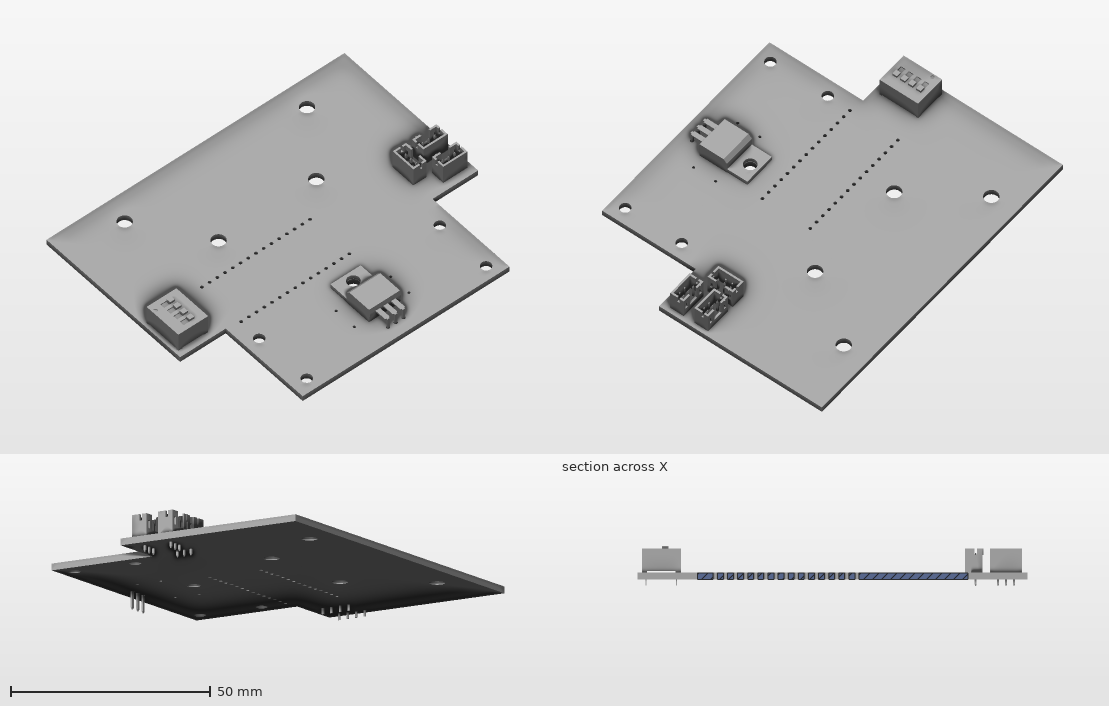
import cadquery as cq

BOARD_X = 82.0
BOARD_Y = 98.0
BOARD_T = 1.8
MAIN_X = 52.0
WING_Y = 68.0
MID_Y = BOARD_Y / 2

POST_HOLE_D = 4.1
POST_HOLES = [(7.9, 30.0), (28.0, 16.1)]
SCREW_HOLE_D = 3.1
SCREW_HOLES = [(60.0, 78.7), (60.0, 19.3), (78.0, 78.7), (78.0, 19.7)]

SOCKET_HOLE_D = 1.0
SOCKET_COUNT = 15
SOCKET_LENGTH = 35.6
PITCH = SOCKET_LENGTH / (SOCKET_COUNT - 1)
SOCKET_ROWS_X = [37.4, 52.7]
SOCKET_FIRST_Y = 19.5

PIN_POINT_W = 0.2

VIA_D = 0.8
VIA_X = [65.4, 72.4]
VIA_Y = [40.1, 58.0]

HEADER_W = 8.0
HEADER_D = 4.4
HEADER_H = 6.0
HEADER_WALL = 0.6
HEADER_FLOOR = 1.0
HEADER_PINS = 3
HEADER_PIN_SPAN = 4.0
HEADER_PITCH = HEADER_PIN_SPAN / (HEADER_PINS - 1)
PIN_SETBACK = 1.8
PIN_W = 0.5
PIN_TOP = 4.9
PIN_BELOW = 3.4
PIN_TIP = 0.5
PIN_HOLE_D = 0.76
FRONT_NOTCH_W = 2.8
FRONT_NOTCH_Z = 2.1
SIDE_NOTCH_W = 0.7
SIDE_NOTCH_DEPTH = 1.7
WINDOW_W = 0.9
WINDOW_H = 2.0
WINDOW_Z = 2.4
WINDOW_OFFSET = 2.8
KEY_W = 0.4
KEY_PROUD = 0.2
KEY_OFFSET = -2.6
BACK_RIB_W = 0.4
BACK_RIB_T = 0.3
BACK_RIB_TOP = 3.5
HEADER_PLACES = [(37.4, 92.6, 0), (45.2, 92.6, 0), (41.4, 86.7, -90)]

SWITCH_X = 12.3
SWITCH_Y = 9.8
SWITCH_H = 6.0
SWITCH_MID = (43.9, 6.0)
SWITCH_COUNT = 4
FOOT_X = 0.7
FOOT_Y = 1.4
FOOT_H = 0.3
SLOT_X = 1.5
SLOT_Y = 3.5
SLOT_DEPTH = 0.3
KNOB_Y = 1.6
KNOB_RISE = 0.7
DOT_D = 1.1
DOT_DEPTH = 0.2
DOT_Y = 2.1
SWITCH_PIN_SPAN = 7.6
SWITCH_PIN_X = 0.6
SWITCH_PIN_Y = 0.3
SWITCH_PIN_BELOW = 3.3
SWITCH_PIN_HOLE_D = 0.8

TAB_X0 = 58.4
TAB_T = 1.3
TAB_W = 10.0
TAB_HOLE_D = 3.7
TAB_SCREW_HOLE_D = 3.5
TAB_HOLE_X = 61.25
TAB_HOLE_Y = 49.2
CASE_W = 10.2
CASE_X0 = 64.9
CASE_X1 = 74.0
CASE_END_DRAFT = 0.4
CASE_H = 4.6
CASE_CHAMFER = 1.1
LEAD_COUNT = 3
LEAD_W = 1.5
LEAD_TIP_W = 0.8
LEAD_T = 0.44
LEAD_TOP = 3.3
LEAD_X1 = 78.2
LEAD_TIP = 0.5
LEAD_HOLE_D = 1.1
TOTAL_Z = 13.0
LEAD_BELOW = TOTAL_Z - SWITCH_H - KNOB_RISE


def box(x0, x1, y0, y1, z0, z1):
    return cq.Workplane().box(x1 - x0, y1 - y0, z1 - z0, centered=False).translate((x0, y0, z0))


def centred_box(size_x, size_y, z0, z1):
    return box(-size_x / 2, size_x / 2, -size_y / 2, size_y / 2, z0, z1)


def row(count, pitch):
    """Offsets of evenly spaced items about their middle."""
    return [(i - (count - 1) / 2) * pitch for i in range(count)]


def pointed_pin(size_x, size_y, bottom, top, tip):
    """Rectangular pin whose lower end tapers to a small flat."""
    shank = centred_box(size_x, size_y, bottom + tip, top)
    taper = (
        cq.Workplane(origin=(0, 0, bottom))
        .rect(PIN_POINT_W, PIN_POINT_W)
        .workplane(offset=tip)
        .rect(size_x, size_y)
        .loft()
    )
    return shank.union(taper)


def place_header(shape, place):
    x, y, turn = place
    return shape.rotate((0, 0, 0), (0, 0, 1), turn).translate((x, y, 0))


def header_pin_points():
    return [(PIN_SETBACK, y) for y in row(HEADER_PINS, HEADER_PITCH)]


def switch_pin_points():
    x, y = SWITCH_MID
    sides = (-SWITCH_PIN_SPAN / 2, SWITCH_PIN_SPAN / 2)
    return [(x + dx, y + dy) for dx in row(SWITCH_COUNT, PITCH) for dy in sides]


def lead_points():
    return [(LEAD_X1 - LEAD_T / 2, MID_Y + dy) for dy in row(LEAD_COUNT, PITCH)]


def through_holes(points, diameter):
    return cq.Workplane(origin=(0, 0, -BOARD_T)).pushPoints(points).circle(diameter / 2).extrude(BOARD_T)


def make_board():
    main = box(0, MAIN_X, 0, BOARD_Y, -BOARD_T, 0)
    wing = box(MAIN_X, BOARD_X, MID_Y - WING_Y / 2, MID_Y + WING_Y / 2, -BOARD_T, 0)
    board = main.union(wing)

    posts = [(x, MID_Y + side * dy) for x, dy in POST_HOLES for side in (-1, 1)]
    sockets = [(x, SOCKET_FIRST_Y + i * PITCH) for x in SOCKET_ROWS_X for i in range(SOCKET_COUNT)]
    vias = [(x, y) for x in VIA_X for y in VIA_Y]
    board = board.cut(through_holes(posts, POST_HOLE_D))
    board = board.cut(through_holes(SCREW_HOLES, SCREW_HOLE_D))
    board = board.cut(through_holes(sockets, SOCKET_HOLE_D))
    board = board.cut(through_holes(vias, VIA_D))
    board = board.cut(through_holes([(TAB_HOLE_X, TAB_HOLE_Y)], TAB_SCREW_HOLE_D))
    board = board.cut(through_holes(switch_pin_points(), SWITCH_PIN_HOLE_D))
    board = board.cut(through_holes(lead_points(), LEAD_HOLE_D))
    for place in HEADER_PLACES:
        board = board.cut(place_header(through_holes(header_pin_points(), PIN_HOLE_D), place))
    return board


def make_header(place):
    """Open-topped shroud round a row of pins, built with its front wall facing -X and then placed."""
    half = HEADER_W / 2
    header = box(0, HEADER_D, -half, half, 0, HEADER_H)
    inner = half - HEADER_WALL
    header = header.cut(
        box(HEADER_WALL, HEADER_D - HEADER_WALL, -inner, inner, HEADER_FLOOR, HEADER_H)
    )

    header = header.cut(
        box(0, HEADER_WALL, -FRONT_NOTCH_W / 2, FRONT_NOTCH_W / 2, FRONT_NOTCH_Z, HEADER_H)
    )
    window = box(0, HEADER_WALL, -WINDOW_W / 2, WINDOW_W / 2, WINDOW_Z, WINDOW_Z + WINDOW_H)
    for side in (-1, 1):
        header = header.cut(window.translate((0, side * WINDOW_OFFSET, 0)))
    end_notch = centred_box(SIDE_NOTCH_W, HEADER_W, HEADER_H - SIDE_NOTCH_DEPTH, HEADER_H)
    header = header.cut(end_notch.translate((PIN_SETBACK, 0, 0)))

    key = box(-KEY_PROUD, 0, -KEY_W / 2, KEY_W / 2, WINDOW_Z + WINDOW_H, HEADER_H)
    header = header.union(key.translate((0, KEY_OFFSET, 0)))
    back_x = HEADER_D - HEADER_WALL
    back_rib = box(
        back_x - BACK_RIB_T, back_x, -BACK_RIB_W / 2, BACK_RIB_W / 2, HEADER_FLOOR, BACK_RIB_TOP
    )
    for dy in row(HEADER_PINS - 1, HEADER_PITCH):
        header = header.union(back_rib.translate((0, dy, 0)))

    lower_half = pointed_pin(PIN_W, PIN_W, -PIN_BELOW, HEADER_FLOOR, PIN_TIP)
    upper_half = pointed_pin(PIN_W, PIN_W, -PIN_TOP, -HEADER_FLOOR, PIN_TIP).mirror("XY")
    pin = lower_half.union(upper_half)
    for x, y in header_pin_points():
        header = header.union(pin.translate((x, y, 0)))
    return place_header(header, place)


def make_switch():
    x, y = SWITCH_MID
    body = centred_box(SWITCH_X, SWITCH_Y, 0, SWITCH_H)
    body = body.cut(centred_box(SWITCH_X - 2 * FOOT_X, SWITCH_Y, 0, FOOT_H))
    body = body.cut(centred_box(SWITCH_X, SWITCH_Y - 2 * FOOT_Y, 0, FOOT_H))

    slot = centred_box(SLOT_X, SLOT_Y, SWITCH_H - SLOT_DEPTH, SWITCH_H)
    knob = centred_box(SLOT_X, KNOB_Y, SWITCH_H - SLOT_DEPTH, SWITCH_H + KNOB_RISE)
    knob = knob.translate((0, (SLOT_Y - KNOB_Y) / 2, 0))
    for dx in row(SWITCH_COUNT, PITCH):
        body = body.cut(slot.translate((dx, 0, 0))).union(knob.translate((dx, 0, 0)))
    switch = body.translate((x, y, 0))

    first_x = x + row(SWITCH_COUNT, PITCH)[0]
    dot = cq.Workplane(origin=(first_x, DOT_Y, SWITCH_H)).circle(DOT_D / 2).extrude(-DOT_DEPTH)
    switch = switch.cut(dot)

    pin = centred_box(SWITCH_PIN_X, SWITCH_PIN_Y, -SWITCH_PIN_BELOW, FOOT_H)
    for px, py in switch_pin_points():
        switch = switch.union(pin.translate((px, py, 0)))
    return switch


def make_transistor():
    case_end = CASE_X1 - CASE_END_DRAFT
    tab = box(TAB_X0, case_end, MID_Y - TAB_W / 2, MID_Y + TAB_W / 2, 0, TAB_T)
    tab_hole = cq.Workplane().center(TAB_HOLE_X, TAB_HOLE_Y).circle(TAB_HOLE_D / 2).extrude(TAB_T)

    profile = [
        (CASE_X0, 0),
        (CASE_X0, CASE_H - CASE_CHAMFER),
        (CASE_X0 + CASE_CHAMFER, CASE_H),
        (case_end, CASE_H),
        (CASE_X1, LEAD_TOP),
        (CASE_X1, LEAD_TOP - LEAD_T),
        (case_end, 0),
    ]
    case = cq.Workplane("XZ", origin=(0, MID_Y + CASE_W / 2, 0)).polyline(profile).close().extrude(CASE_W)
    transistor = tab.cut(tab_hole).union(case)

    level = box(CASE_X1, LEAD_X1 - LEAD_T, -LEAD_W / 2, LEAD_W / 2, LEAD_TOP - LEAD_T, LEAD_TOP)
    drop = pointed_pin(LEAD_T, LEAD_TIP_W, -LEAD_BELOW, LEAD_TOP, LEAD_TIP)
    for x, y in lead_points():
        transistor = transistor.union(level.translate((0, y, 0))).union(drop.translate((x, y, 0)))
    return transistor


board = make_board()
headers = [make_header(place) for place in HEADER_PLACES]
switch = make_switch()
transistor = make_transistor()

result = cq.Compound.makeCompound(
    [board.val(), *[header.val() for header in headers], switch.val(), transistor.val()]
)